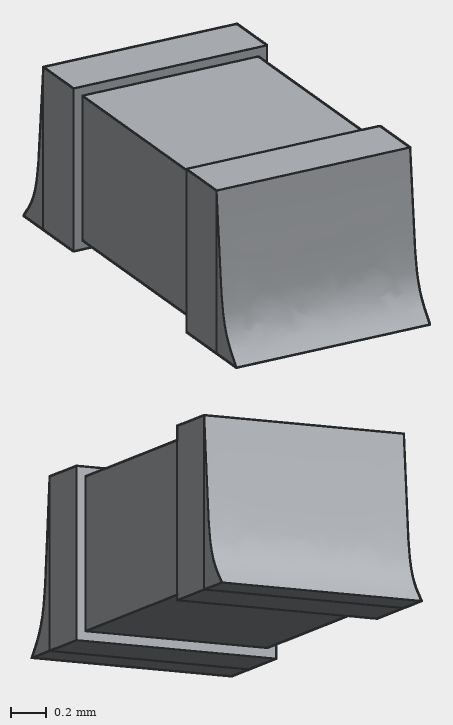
import cadquery as cq

TOTAL_LENGTH = 2.46
TERMINAL_WIDTH = 1.25
TERMINAL_HEIGHT = 1.0

CHIP_LENGTH = 2.0
TERMINAL_LENGTH = 0.35
TERMINAL_STEP = 0.057

SOLDER_REACH = (TOTAL_LENGTH - CHIP_LENGTH) / 2
LOWER_OUT = 0.11
LOWER_HEIGHT = 0.17
UPPER_OUT = 0.047
UPPER_HEIGHT = 0.507
BOTTOM_SLOPE = 0.9
TOP_SLOPE = 0.08

CERAMIC_LENGTH = CHIP_LENGTH - 2 * TERMINAL_LENGTH
CERAMIC_WIDTH = TERMINAL_WIDTH - 2 * TERMINAL_STEP
CERAMIC_HEIGHT = TERMINAL_HEIGHT - 2 * TERMINAL_STEP


def make_ceramic():
    """Plain block that butts against the inner faces of the terminals."""
    block = cq.Workplane("XY").box(CERAMIC_LENGTH, CERAMIC_WIDTH, CERAMIC_HEIGHT)
    return block.translate((0, 0, TERMINAL_HEIGHT / 2))


def make_terminal(side):
    """Rectangular end terminal; side is -1 or 1 along X."""
    center_x = side * (CHIP_LENGTH - TERMINAL_LENGTH) / 2
    block = cq.Workplane("XY").box(TERMINAL_LENGTH, TERMINAL_WIDTH, TERMINAL_HEIGHT)
    return block.translate((center_x, 0, TERMINAL_HEIGHT / 2))


def make_solder(side):
    """Concave solder fillet on the outer face of one terminal."""
    face_x = side * CHIP_LENGTH / 2
    return (
        cq.Workplane("XZ")
        .moveTo(face_x, 0)
        .lineTo(face_x + side * SOLDER_REACH, 0)
        .spline(
            [
                (face_x + side * LOWER_OUT, LOWER_HEIGHT),
                (face_x + side * UPPER_OUT, UPPER_HEIGHT),
                (face_x, TERMINAL_HEIGHT),
            ],
            tangents=[(-side * BOTTOM_SLOPE, 1), (-side * TOP_SLOPE, 1)],
            includeCurrent=True,
        )
        .close()
        .extrude(TERMINAL_WIDTH)
        .translate((0, TERMINAL_WIDTH / 2, 0))
    )


ceramic = make_ceramic()
terminals = [make_terminal(side) for side in (-1, 1)]
solder_fillets = [make_solder(side) for side in (-1, 1)]

result = cq.Compound.makeCompound(
    [body.val() for body in [ceramic, *terminals, *solder_fillets]]
)